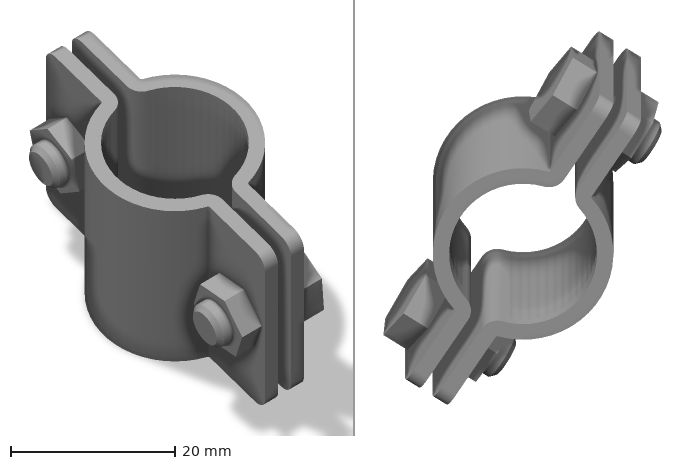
import cadquery as cq
import math

length = 43.45
height = 28.0
thickness = 2.0
gap = 2.0
outer_radius = 11.0
outer_bend_radius = 0.25
corner_radius = 2.0

bolt_offset = 16.25
shank_radius = 3.0
shank_end = 8.05
tip_chamfer = 0.65
nut_radius = 5.0
nut_thickness = 3.0
nut_turn = 45.0
head_radius = 5.48
head_thickness = 3.5
head_turn = 25.5

inner_radius = outer_radius - thickness
inner_bend_radius = outer_bend_radius + thickness
flange_inner_y = gap / 2
flange_outer_y = flange_inner_y + thickness
bend_y = flange_outer_y + outer_bend_radius
bend_distance = outer_radius + outer_bend_radius
bend_x = math.sqrt(bend_distance**2 - bend_y**2)
bend_angle = math.atan2(bend_y, bend_x)


def on_strap(radius):
    """Point where the round strap of this radius meets the right-hand bend."""
    return radius * math.cos(bend_angle), radius * math.sin(bend_angle)


def on_bend(radius):
    """Middle point of the right-hand bend arc of this radius."""
    middle_angle = (bend_angle + math.pi / 2) / 2
    return bend_x - radius * math.cos(middle_angle), bend_y - radius * math.sin(middle_angle)


def mirrored(point):
    return -point[0], point[1]


def clamp_half():
    """Half clamp on the +Y side, with rounded flange corners."""
    outer_end = on_strap(outer_radius)
    inner_end = on_strap(inner_radius)
    outer_bend = on_bend(outer_bend_radius)
    inner_bend = on_bend(inner_bend_radius)
    strap = (
        cq.Workplane("XY")
        .moveTo(length / 2, flange_outer_y)
        .lineTo(bend_x, flange_outer_y)
        .threePointArc(outer_bend, outer_end)
        .threePointArc((0, outer_radius), mirrored(outer_end))
        .threePointArc(mirrored(outer_bend), (-bend_x, flange_outer_y))
        .lineTo(-length / 2, flange_outer_y)
        .lineTo(-length / 2, flange_inner_y)
        .lineTo(-bend_x, flange_inner_y)
        .threePointArc(mirrored(inner_bend), mirrored(inner_end))
        .threePointArc((0, inner_radius), inner_end)
        .threePointArc(inner_bend, (bend_x, flange_inner_y))
        .lineTo(length / 2, flange_inner_y)
        .close()
        .extrude(height / 2, both=True)
    )
    return strap.edges("|Y and (<X or >X)").fillet(corner_radius)


def hexagon(radius, turn, thickness_y, start_y):
    """Hexagonal prism along Y, one corner turned from +X towards +Z."""
    corners = []
    for side in range(6):
        angle = math.radians(turn + 60 * side)
        corners.append((radius * math.cos(angle), radius * math.sin(angle)))
    prism = cq.Workplane("XZ").polyline(corners).close().extrude(-thickness_y)
    return prism.translate((0, start_y, 0))


def bolt():
    """Left-hand bolt and nut: head on the +Y side, tip on the -Y side."""
    shank = (
        cq.Workplane("XZ", origin=(0, flange_outer_y, 0))
        .circle(shank_radius)
        .extrude(flange_outer_y + shank_end)
        .faces("<Y")
        .chamfer(tip_chamfer)
    )
    head = hexagon(head_radius, head_turn, head_thickness, flange_outer_y)
    nut = hexagon(nut_radius, nut_turn, nut_thickness, -flange_outer_y - nut_thickness)
    return shank.union(head).union(nut).translate((-bolt_offset, 0, 0))


back_half = clamp_half()
left_bolt = bolt()

result = (
    back_half
    .union(back_half.mirror("XZ"))
    .union(left_bolt)
    .union(left_bolt.mirror("YZ"))
)